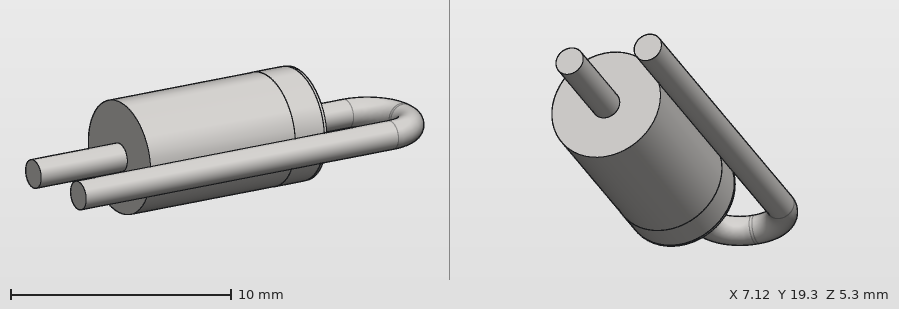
import cadquery as cq
import math

body_diameter = 5.29
body_start = 4.63
body_length = 9.48

band_diameter = 5.3
band_length = 1.56
band_end_gap = 0.14
band_start = body_start + body_length - band_end_gap - band_length

overall_length = 19.3
wire_diameter = 1.33
lead_pitch = 3.8
bend_radius = 1.83
bend_top = overall_length - wire_diameter / 2
bend_start = bend_top - bend_radius


def cylinder_along_y(diameter, start, length):
    """Round bar on the Y axis, running toward +Y from start."""
    base = cq.Workplane("XZ", origin=(0, start, 0))
    return base.circle(diameter / 2).extrude(-length)


def make_lead():
    """Two straight leads joined by quarter bends with a short straight between them."""
    arc_inset = bend_radius * (1 - math.sqrt(0.5))
    path = (
        cq.Workplane("XY")
        .moveTo(0, 0)
        .lineTo(0, bend_start)
        .threePointArc((arc_inset, bend_top - arc_inset), (bend_radius, bend_top))
        .lineTo(lead_pitch - bend_radius, bend_top)
        .threePointArc((lead_pitch - arc_inset, bend_top - arc_inset), (lead_pitch, bend_start))
        .lineTo(lead_pitch, 0)
    )
    return cq.Workplane("XZ").circle(wire_diameter / 2).sweep(path)


body = cylinder_along_y(body_diameter, body_start, body_length)
band = cylinder_along_y(band_diameter, band_start, band_length)
result = body.union(band).union(make_lead())